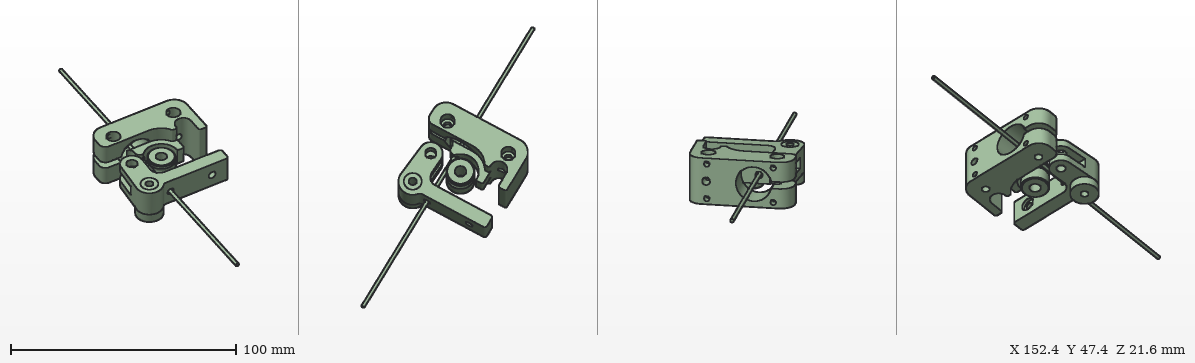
import cadquery as cq
import math


gear_x = 0.0
gear_y = 6.4
bolt_offset = 15.5
bolt_low_y = gear_y - bolt_offset
bolt_high_y = gear_y + bolt_offset
bolt_diameter = 3.5
filament_diameter = 1.7
filament_length = 152.4
filament_hole_diameter = 3.2

housing_left = -23.8
housing_right = -10.8
housing_bottom = -17.4
housing_top = 30.0
housing_height = 21.6
housing_corner = 6.5
housing_small_corner = 3.2
prong_tip_x = 0.5
tip_round = 0.9
notch_diameter = 7.8
notch_center_x = -6.9
horn_tip_x = -5.6
gear_clearance = 10.8
head_diameter = 6.4
head_depth = 6.1
hot_end_diameter = 16.0
clamp_gap = 3.2
screw_hole_diameter = 2.5
screw_hole_depth = 4.5
screw_hole_z = 8.1
screw_hole_ys = (-8.8, 21.2)
spring_bolt_y = 21.5

guide_height = 8.0
guide_right = -5.2
guide_bottom = -2.7
guide_corner = 2.5
guide_root_round = 2.3
guide_clearance = 8.1

arm_height = 12.6
arm_pivot_x = bolt_offset
arm_pivot_radius = 6.4
idler_y = -8.8
idler_end_radius = 5.3
idler_slot_height = 5.0
idler_slot_end_x = 9.1
idler_upper_hole = 5.0
idler_lower_hole = 4.1
lever_left = 12.2
lever_right = 18.7
lever_tip_round = 1.2
elbow_y = -4.1
elbow_round = 4.4
heel_round = 2.3
spring_seat_diameter = 6.4
spring_seat_depth = 1.5

bushing_diameter = 8.0

gear_diameter = 12.6
gear_bore = 5.0
gear_top = 3.7
gear_bottom = -8.5
gear_edge = 0.5
groove_half_width = 1.8
groove_depth = 0.5 * (gear_diameter + filament_diameter) - gear_y


def rod_z(x, y, diameter, bottom, top):
    """Cylinder along Z."""
    return cq.Workplane("XY", origin=(x, y, bottom)).circle(diameter / 2).extrude(top - bottom)


def rod_x(y, z, diameter, left, right):
    """Cylinder along X."""
    return cq.Workplane("YZ", origin=(left, y, z)).circle(diameter / 2).extrude(right - left)


def block(left, right, front, back, height):
    """Box centred on Z = 0."""
    size_x = right - left
    size_y = back - front
    return cq.Workplane("XY").box(size_x, size_y, height).translate(
        ((left + right) / 2, (front + back) / 2, 0)
    )


def edge_at(x, y):
    """Selector for the upright edge nearest to a place in plan."""
    return cq.selectors.NearestToPointSelector((x, y, 0))


def build_guide():
    """Arm that leads the filament to the gear and curls round it."""
    notch_low_y = bolt_high_y - notch_diameter / 2
    guide = block(housing_right, prong_tip_x, guide_bottom, notch_low_y, guide_height)
    guide = guide.cut(block(guide_right, prong_tip_x, guide_bottom, gear_y, guide_height))
    guide = guide.cut(rod_z(gear_x, gear_y, 2 * guide_clearance, -guide_height, guide_height))
    guide = guide.edges(edge_at(guide_right, guide_bottom)).fillet(guide_corner)
    guide = guide.edges(edge_at(prong_tip_x, notch_low_y)).fillet(tip_round)
    root = block(
        housing_right, housing_right + guide_root_round,
        guide_bottom - guide_root_round, guide_bottom, guide_height,
    ).cut(
        rod_z(
            housing_right + guide_root_round, guide_bottom - guide_root_round,
            2 * guide_root_round, -guide_height, guide_height,
        )
    )
    return guide.union(root)


def build_housing():
    half = housing_height / 2
    notch_low_y = bolt_high_y - notch_diameter / 2
    notch_high_y = bolt_high_y + notch_diameter / 2

    body = block(housing_left, housing_right, housing_bottom, housing_top, housing_height)
    for corner_y in (housing_bottom, housing_top):
        body = body.edges(edge_at(housing_left, corner_y)).fillet(housing_corner)
    body = body.edges(edge_at(housing_right, housing_bottom)).fillet(housing_small_corner)
    prong = block(housing_right, prong_tip_x, notch_high_y, housing_top, housing_height)
    prong = prong.edges("|Z and >X").fillet(tip_round)
    horn = block(housing_right, horn_tip_x, gear_y, notch_low_y, housing_height)
    horn = horn.cut(rod_z(gear_x, gear_y, 2 * gear_clearance, -half, half))
    horn = horn.edges("|Z and >X").fillet(tip_round)
    notch_web = block(housing_right, notch_center_x, notch_low_y, notch_high_y, housing_height)
    body = body.union(prong).union(horn).union(notch_web)
    body = body.cut(rod_z(notch_center_x, bolt_high_y, notch_diameter, -half, half))

    body = body.cut(rod_x(0, 0, hot_end_diameter, housing_left, housing_right))
    body = body.cut(block(housing_left, housing_right, housing_bottom, 0, clamp_gap))

    body = body.union(build_guide())
    body = body.cut(rod_x(0, 0, filament_hole_diameter, housing_right, prong_tip_x))

    for bolt_y in (bolt_low_y, bolt_high_y):
        body = body.cut(rod_z(-bolt_offset, bolt_y, bolt_diameter, -half, half))
        body = body.cut(rod_z(-bolt_offset, bolt_y, head_diameter, half - head_depth, half))

    body = body.cut(rod_x(spring_bolt_y, 0, bolt_diameter, housing_left, notch_center_x))
    for screw_y in screw_hole_ys:
        for screw_z in (-screw_hole_z, screw_hole_z):
            end_x = housing_left + screw_hole_depth
            body = body.cut(rod_x(screw_y, screw_z, screw_hole_diameter, housing_left, end_x))
    return body


def arm_outline():
    """L-shaped plan of the arm, with two round ends joined by a tangent line."""
    span = math.hypot(arm_pivot_x - gear_x, bolt_low_y - idler_y)
    slope = math.atan2(bolt_low_y - idler_y, arm_pivot_x - gear_x)
    tangent = slope - math.pi / 2 - math.asin((arm_pivot_radius - idler_end_radius) / span)
    heel_y = bolt_low_y + math.sqrt(arm_pivot_radius**2 - (lever_right - arm_pivot_x) ** 2)

    def on_end(x, y, radius):
        return (x + radius * math.cos(tangent), y + radius * math.sin(tangent))

    return (
        cq.Workplane("XY", origin=(0, 0, -arm_height / 2))
        .moveTo(lever_left, housing_top)
        .lineTo(lever_left, elbow_y)
        .lineTo(gear_x, idler_y + idler_end_radius)
        .threePointArc(
            (gear_x - idler_end_radius, idler_y), on_end(gear_x, idler_y, idler_end_radius)
        )
        .lineTo(*on_end(arm_pivot_x, bolt_low_y, arm_pivot_radius))
        .threePointArc((arm_pivot_x + arm_pivot_radius, bolt_low_y), (lever_right, heel_y))
        .lineTo(lever_right, housing_top)
        .close()
    ), heel_y


def build_arm():
    half = arm_height / 2
    outline, heel_y = arm_outline()
    arm = outline.extrude(arm_height)
    arm = arm.edges(edge_at(lever_left, elbow_y)).fillet(elbow_round)
    arm = arm.edges(edge_at(lever_right, heel_y)).fillet(heel_round)
    arm = arm.edges("|Z and >Y").fillet(lever_tip_round)

    arm = arm.cut(
        block(
            gear_x - idler_end_radius, idler_slot_end_x,
            housing_bottom, gear_y, idler_slot_height,
        )
    )
    arm = arm.cut(rod_z(gear_x, idler_y, idler_lower_hole, -half, half))
    arm = arm.cut(rod_z(gear_x, idler_y, idler_upper_hole, 0, half))

    arm = arm.cut(rod_z(arm_pivot_x, bolt_low_y, bushing_diameter, -half, half))
    arm = arm.cut(rod_x(0, 0, filament_hole_diameter, idler_slot_end_x, lever_right + heel_round))
    arm = arm.cut(rod_x(spring_bolt_y, 0, bolt_diameter, lever_left, lever_right))
    seat_end = lever_left + spring_seat_depth
    return arm.cut(rod_x(spring_bolt_y, 0, spring_seat_diameter, lever_left, seat_end))


def build_bushing():
    """Sleeve through the arm pivot, with a flange that carries the arm."""
    bottom = -housing_height / 2
    top = arm_height / 2
    sleeve = rod_z(arm_pivot_x, bolt_low_y, bushing_diameter, bottom, top)
    flange = rod_z(arm_pivot_x, bolt_low_y, 2 * arm_pivot_radius, bottom, -top)
    return sleeve.union(flange).cut(rod_z(arm_pivot_x, bolt_low_y, bolt_diameter, bottom, top))


def build_gear():
    """Drive gear with a concave groove round it that touches the filament."""
    radius = gear_diameter / 2
    profile = (
        cq.Workplane("XZ")
        .moveTo(gear_bore / 2, gear_bottom)
        .lineTo(radius - gear_edge, gear_bottom)
        .lineTo(radius, gear_bottom + gear_edge)
        .lineTo(radius, -groove_half_width)
        .threePointArc((radius - groove_depth, 0), (radius, groove_half_width))
        .lineTo(radius, gear_top - gear_edge)
        .lineTo(radius - gear_edge, gear_top)
        .lineTo(gear_bore / 2, gear_top)
        .close()
    )
    return profile.revolve(360, (0, 0, 0), (0, 1, 0)).translate((gear_x, gear_y, 0))


housing = build_housing()
arm = build_arm()
bushing = build_bushing()
gear = build_gear()
filament = rod_x(0, 0, filament_diameter, -filament_length / 2, filament_length / 2)

result = cq.Compound.makeCompound(
    [housing.val(), arm.val(), bushing.val(), gear.val(), filament.val()]
)